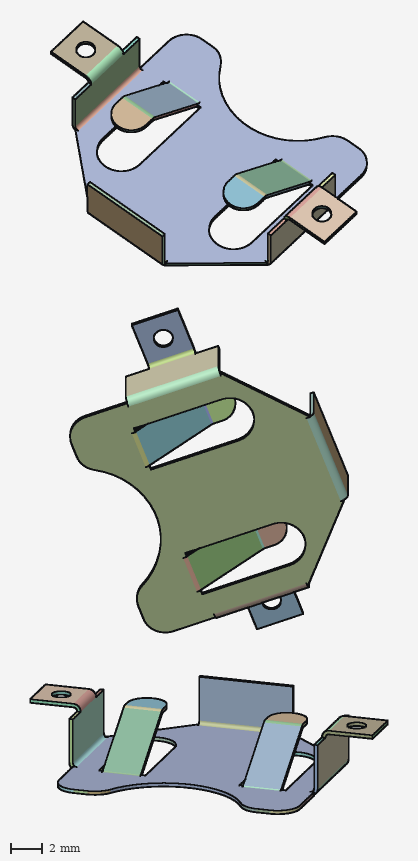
import cadquery as cq
import math


thickness = 0.25
inner_bend_radius = 0.25
middle_bend_radius = inner_bend_radius + thickness / 2
outer_bend_radius = inner_bend_radius + thickness

overall_width = 23.22
overall_length = 15.34
overall_height = 3.96
plate_half_width = 8.175
plate_back_y = 7.55
corner_radius = 1.51
scoop_radius = 5.08
scoop_bottom_y = 4.22

wall_length = 6.35
wall_half_length = wall_length / 2
wall_top_z = overall_height - outer_bend_radius
plate_front_y = plate_back_y - overall_length + thickness
side_bend_x = plate_half_width - inner_bend_radius
front_bend_y = plate_front_y + inner_bend_radius

tab_width = wall_length / 2
hole_diameter = 1.23
hole_x = 10.02

slot_x = 4.76
slot_width = 3.15
slot_back_y = 3.38
slot_front_y = -4.18
tongue_width = 2.58
tongue_bend_y = 3.635
tongue_tip_bend_y = -1.03
tongue_tip_y = -2.92
tongue_top_z = 3.32


def bent_section(plane, start, heading, steps):
    """Closed section of a bent sheet, drawn on the named plane.

    start and heading (degrees) place the middle of the sheet; each step is a
    straight run followed by a bend, positive to the left, zero for none.
    """
    u, v = start
    half = thickness / 2
    left_edge = []
    right_edge = []

    def add_station(centre_u, centre_v, angle, middle_offset, edge_kind):
        """Add one point to both edges, offset from a centre along the angle's left normal."""
        normal_u = -math.sin(math.radians(angle))
        normal_v = math.cos(math.radians(angle))
        for edge, side in ((left_edge, half), (right_edge, -half)):
            offset = middle_offset + side
            edge.append((edge_kind, (centre_u + offset * normal_u, centre_v + offset * normal_v)))

    add_station(u, v, heading, 0, "straight")
    for run, bend in steps:
        if run > 0:
            u += run * math.cos(math.radians(heading))
            v += run * math.sin(math.radians(heading))
            add_station(u, v, heading, 0, "straight")
        if bend != 0:
            radius = math.copysign(middle_bend_radius, bend)
            centre_u = u - radius * math.sin(math.radians(heading))
            centre_v = v + radius * math.cos(math.radians(heading))
            add_station(centre_u, centre_v, heading + bend / 2, -radius, "arc middle")
            heading += bend
            add_station(centre_u, centre_v, heading, -radius, "arc end")
            u = centre_u + radius * math.sin(math.radians(heading))
            v = centre_v - radius * math.cos(math.radians(heading))

    section = cq.Workplane(plane).moveTo(*left_edge[0][1])
    section = trace_edge(section, left_edge[1:])
    section = section.lineTo(*right_edge[-1][1])

    for index in range(len(right_edge) - 1, 0, -1):
        kind = right_edge[index][0]
        if kind == "straight":
            section = section.lineTo(*right_edge[index - 1][1])
        elif kind == "arc end":
            section = section.threePointArc(right_edge[index - 1][1], right_edge[index - 2][1])
    return section.close()


def trace_edge(section, edge):
    """Continue a section along an edge's straight runs and arcs."""
    for index, (kind, point) in enumerate(edge):
        if kind == "straight":
            section = section.lineTo(*point)
        elif kind == "arc end":
            section = section.threePointArc(edge[index - 1][1], point)
    return section


def mirrored(solid):
    """The solid together with its mirror image across X = 0."""
    return solid.union(solid.mirror("YZ"))


def block(x_range, y_range):
    """Block as thick as the sheet, standing on Z = 0."""
    return (
        cq.Workplane("XY")
        .moveTo(x_range[0], y_range[0])
        .lineTo(x_range[1], y_range[0])
        .lineTo(x_range[1], y_range[1])
        .lineTo(x_range[0], y_range[1])
        .close()
        .extrude(thickness)
    )


def base_plate():
    """Flat plate with rounded horns, a round scoop and tapered front corners."""
    scoop_y = scoop_bottom_y + scoop_radius

    horn_y = plate_back_y - corner_radius
    centre_distance = scoop_radius + corner_radius
    horn_x = math.sqrt(centre_distance**2 - (scoop_y - horn_y) ** 2)
    join_x = horn_x * scoop_radius / centre_distance
    join_y = scoop_y - (scoop_y - horn_y) * scoop_radius / centre_distance

    back_corner_x = plate_half_width - corner_radius
    return (
        cq.Workplane("XY")
        .moveTo(-wall_half_length, plate_front_y)
        .lineTo(wall_half_length, plate_front_y)
        .lineTo(plate_half_width, -wall_half_length)
        .lineTo(plate_half_width, horn_y)
        .radiusArc((back_corner_x, plate_back_y), -corner_radius)
        .lineTo(horn_x, plate_back_y)
        .radiusArc((join_x, join_y), -corner_radius)
        .threePointArc((0, scoop_bottom_y), (-join_x, join_y))
        .radiusArc((-horn_x, plate_back_y), -corner_radius)
        .lineTo(-back_corner_x, plate_back_y)
        .radiusArc((-plate_half_width, horn_y), -corner_radius)
        .lineTo(-plate_half_width, -wall_half_length)
        .close()
        .extrude(thickness)
    )


def bend_clearance():
    """Plate material replaced by the bends of the three walls."""
    side = block((side_bend_x, plate_half_width), (-wall_half_length, wall_half_length))
    front = block((-wall_half_length, wall_half_length), (plate_front_y, front_bend_y))
    return mirrored(side).union(front)


def slot():
    """Round-ended slot with a narrow notch where the tongue starts to bend."""
    half_width = slot_width / 2
    round_y = slot_front_y + half_width
    opening = block((slot_x - half_width, slot_x + half_width), (round_y, slot_back_y))
    round_end = cq.Workplane("XY").center(slot_x, round_y).circle(half_width).extrude(thickness)
    notch = block(
        (slot_x - tongue_width / 2, slot_x + tongue_width / 2),
        (slot_back_y, tongue_bend_y),
    )
    return opening.union(round_end).union(notch)


def front_wall():
    """Wall bent up along the front edge."""
    wall_run = wall_top_z - outer_bend_radius
    section = bent_section("YZ", (front_bend_y, thickness / 2), 180, [(0, -90), (wall_run, 0)])
    return section.extrude(wall_half_length, both=True)


def side_wall():
    """Wall bent up along the +X edge, with its outward mounting tab."""
    wall_run = wall_top_z - outer_bend_radius
    tab_bend_end_x = plate_half_width + outer_bend_radius
    tab_run = overall_width / 2 - tab_bend_end_x
    start = (side_bend_x, thickness / 2)

    wall = bent_section("XZ", start, 0, [(0, 90), (wall_run, 0)])
    wall = wall.extrude(wall_half_length, both=True)

    tab = bent_section("XZ", start, 0, [(0, 90), (wall_run, -90), (tab_run, 0)])
    tab = tab.extrude(tab_width / 2, both=True)

    hole = cq.Workplane("XY").center(hole_x, 0).circle(hole_diameter / 2).extrude(overall_height)
    return wall.union(tab).cut(hole)


def tongue():
    """Spring tongue rising toward the front, levelling out to a round tip."""
    rise = tongue_top_z - 2 * outer_bend_radius
    reach = tongue_bend_y - tongue_tip_bend_y
    centre_distance = math.hypot(reach, rise)
    ramp_angle = math.degrees(
        math.atan2(rise, reach) + math.asin(2 * middle_bend_radius / centre_distance)
    )
    ramp_run = math.sqrt(centre_distance**2 - (2 * middle_bend_radius) ** 2)
    tip_run = tongue_tip_bend_y - tongue_tip_y

    section = bent_section(
        "YZ",
        (tongue_bend_y, thickness / 2),
        180,
        [(0, -ramp_angle), (ramp_run, ramp_angle), (tip_run, 0)],
    )
    strip = section.extrude(tongue_width / 2, both=True).translate((slot_x, 0, 0))

    half_width = tongue_width / 2
    tip_round_y = tongue_tip_y + half_width
    outline = (
        cq.Workplane("XY")
        .moveTo(slot_x + half_width, tongue_bend_y)
        .lineTo(slot_x + half_width, tip_round_y)
        .threePointArc((slot_x, tongue_tip_y), (slot_x - half_width, tip_round_y))
        .lineTo(slot_x - half_width, tongue_bend_y)
        .close()
        .extrude(overall_height)
    )
    return strip.intersect(outline)


result = (
    base_plate()
    .cut(bend_clearance())
    .cut(mirrored(slot()))
    .union(front_wall())
    .union(mirrored(side_wall()))
    .union(mirrored(tongue()))
)